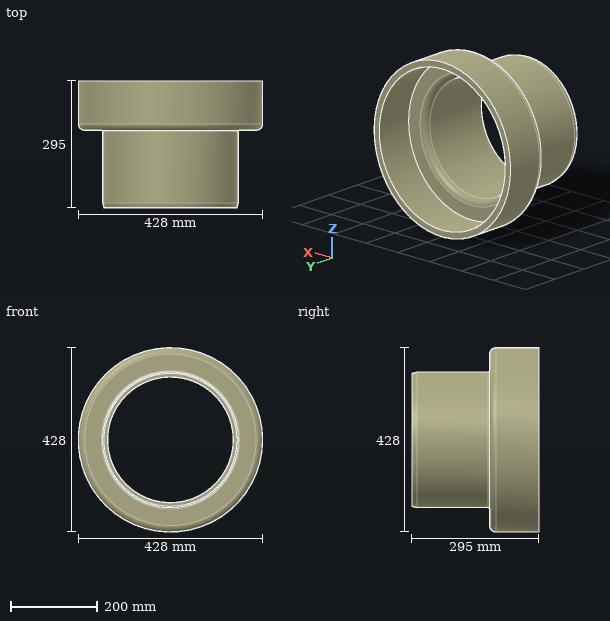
import cadquery as cq
import math

collar_diameter = 428.0
cavity_diameter = 395.0
spigot_diameter = 315.0
bore_diameter = 291.0

total_length = 295.0
collar_length = 115.0
floor_thickness = 14.0

collar_round = 15.0
root_round = 3.0
throat_round = 16.0
tip_bevel_length = 12.0
tip_bevel_angle = 15.0

collar_radius = collar_diameter / 2
cavity_radius = cavity_diameter / 2
spigot_radius = spigot_diameter / 2
bore_radius = bore_diameter / 2
tip_radius = spigot_radius - tip_bevel_length * math.tan(math.radians(tip_bevel_angle))

shoulder_y = -collar_length
floor_y = shoulder_y + floor_thickness
tip_y = -total_length


def add_quarter_round(profile, start, end, center):
    """Draw a line to start, then a quarter circle around center to end."""
    radius = math.dist(start, center)
    toward_middle_x = start[0] + end[0] - 2 * center[0]
    toward_middle_y = start[1] + end[1] - 2 * center[1]
    reach = radius / math.hypot(toward_middle_x, toward_middle_y)
    middle = (center[0] + toward_middle_x * reach, center[1] + toward_middle_y * reach)
    return profile.lineTo(*start).threePointArc(middle, end)


def add_outer_outline(profile):
    """Outside of the wall: collar, rounded shoulder, root fillet, beveled spigot."""
    profile = add_quarter_round(
        profile,
        start=(collar_radius, shoulder_y + collar_round),
        end=(collar_radius - collar_round, shoulder_y),
        center=(collar_radius - collar_round, shoulder_y + collar_round),
    )
    profile = add_quarter_round(
        profile,
        start=(spigot_radius + root_round, shoulder_y),
        end=(spigot_radius, shoulder_y - root_round),
        center=(spigot_radius + root_round, shoulder_y - root_round),
    )
    profile = profile.lineTo(spigot_radius, tip_y + tip_bevel_length)
    return profile.lineTo(tip_radius, tip_y)


def add_inner_outline(profile):
    """Inside of the wall: spigot bore, rounded throat, collar floor."""
    profile = profile.lineTo(bore_radius, tip_y)
    profile = add_quarter_round(
        profile,
        start=(bore_radius, floor_y - throat_round),
        end=(bore_radius + throat_round, floor_y),
        center=(bore_radius + throat_round, floor_y - throat_round),
    )
    return profile.lineTo(cavity_radius, floor_y)


def make_reducer():
    """Turn the half section of the wall about the Y axis."""
    profile = cq.Workplane("XY").moveTo(cavity_radius, 0).lineTo(collar_radius, 0)
    profile = add_outer_outline(profile)
    profile = add_inner_outline(profile)
    return profile.close().revolve(360, (0, 0, 0), (0, 1, 0))


result = make_reducer()